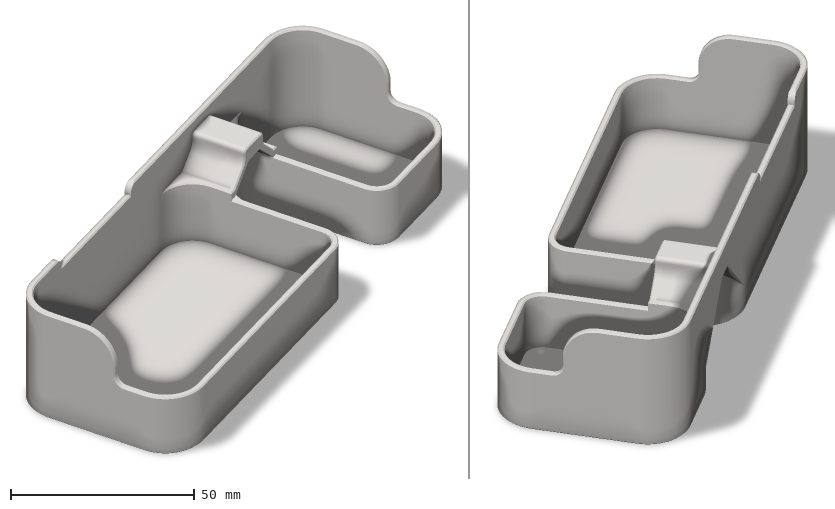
import cadquery as cq
import math

width = 54.0
length = 152.0
height = 35.0
back_tray_length = 39.5
gap = 21.0

wall = 2.0
floor_thickness = 2.0
corner_radius = 12.0
gap_corner_radius = 7.0
edge_chamfer = 0.4
bevel_angle = 45.0

rim_height = 19.0
step_x = 33.0
step_top_radius = 10.0
step_foot_radius = 3.0

notch_floor = 31.5
notch_length = 38.0
notch_offset = 25.0
notch_radius = 3.0

arch_spring_height = 7.0
arch_crown_width = 6.0

bridge_width = 18.5
ledge_height = 21.5
bridge_top = 31.2
hump_width = 10.2
hump_radius = 1.3
hump_foot_radius = 4.5
slope_angle = math.radians(45.0)
slope_foot_inset = 0.2

front_y = -length / 2
back_y = length / 2
gap_back_y = back_y - back_tray_length
gap_front_y = gap_back_y - gap
gap_center_y = (gap_front_y + gap_back_y) / 2
bridge_reach = gap / 2 + corner_radius
trays = [(front_y, gap_front_y), (gap_back_y, back_y)]

overshoot = 1.0
tolerance = 0.01


def rounded_tray_block(y_min, y_max, inset, z_min, z_max):
    """Prism over one tray's plan, shrunk by inset; the gap corner on the +X side is tighter."""
    block = (
        cq.Workplane("XY", origin=(width / 2, (y_min + y_max) / 2, z_min))
        .rect(width - 2 * inset, y_max - y_min - 2 * inset)
        .extrude(z_max - z_min)
    )
    gap_side = ">Y" if y_min == front_y else "<Y"
    gap_corner = f"|Z and >X and {gap_side}"
    block = block.edges(f"|Z exc ({gap_corner})").fillet(corner_radius - inset)
    return block.edges(gap_corner).fillet(gap_corner_radius - inset)


def side_wall():
    """Full height -X wall along the bridge."""
    return (
        cq.Workplane("XY", origin=(0, gap_center_y, 0))
        .box(wall, 2 * bridge_reach, height, centered=(False, True, False))
    )


def arch_cutter():
    """Opening under the bridge: upright sides, 45 degree flanks and a flat crown."""
    half_crown = arch_crown_width / 2
    crown_height = arch_spring_height + bridge_reach - half_crown
    return (
        cq.Workplane("YZ", origin=(-overshoot, gap_center_y, 0))
        .moveTo(-bridge_reach, -overshoot)
        .lineTo(-bridge_reach, arch_spring_height)
        .lineTo(-half_crown, crown_height)
        .lineTo(half_crown, crown_height)
        .lineTo(bridge_reach, arch_spring_height)
        .lineTo(bridge_reach, -overshoot)
        .close()
        .extrude(width + 2 * overshoot)
    )


def bridge_deck():
    """Deck inside the -X wall: tray corner ledges, 45 degree slopes and a raised hump, bevelled on +X."""
    hump_side = hump_width / 2
    slope_foot = gap / 2 + slope_foot_inset
    foot_rise = hump_foot_radius * math.sin(slope_angle)
    foot_run = hump_foot_radius * (1 - math.cos(slope_angle))
    slope_top = hump_side + foot_run
    slope_top_height = ledge_height + (slope_foot - slope_top) * math.tan(slope_angle)
    foot_top_height = slope_top_height + foot_rise
    deck = (
        cq.Workplane("YZ", origin=(0, gap_center_y, 0))
        .moveTo(-bridge_reach, 0)
        .lineTo(-bridge_reach, ledge_height)
        .lineTo(-slope_foot, ledge_height)
        .lineTo(-slope_top, slope_top_height)
        .radiusArc((-hump_side, foot_top_height), -hump_foot_radius)
        .lineTo(-hump_side, bridge_top - hump_radius)
        .radiusArc((hump_radius - hump_side, bridge_top), hump_radius)
        .lineTo(hump_side - hump_radius, bridge_top)
        .radiusArc((hump_side, bridge_top - hump_radius), hump_radius)
        .lineTo(hump_side, foot_top_height)
        .radiusArc((slope_top, slope_top_height), -hump_foot_radius)
        .lineTo(slope_foot, ledge_height)
        .lineTo(bridge_reach, ledge_height)
        .lineTo(bridge_reach, 0)
        .close()
        .extrude(bridge_width)
    )
    above_ledge = cq.selectors.BoxSelector(
        (bridge_width - overshoot, front_y, rim_height),
        (bridge_width + overshoot, back_y, height),
    )
    return deck.faces(">X").edges(above_ledge).chamfer(edge_chamfer)


def step_cutter():
    """Material removed above the low rim, along the whole length."""
    cutter = (
        cq.Workplane("XZ", origin=(0, back_y + overshoot, 0))
        .moveTo(step_x - step_top_radius, height)
        .radiusArc((step_x, height - step_top_radius), step_top_radius)
        .lineTo(step_x, rim_height + step_foot_radius)
        .radiusArc((step_x + step_foot_radius, rim_height), -step_foot_radius)
        .lineTo(width + overshoot, rim_height)
        .lineTo(width + overshoot, height + overshoot)
        .lineTo(step_x - step_top_radius, height + overshoot)
        .close()
    )
    return cutter.extrude(length + 2 * overshoot)


def tray_corner_cutter():
    """Space that lowers the trays along the gap to the low rim, inside the -X wall."""
    return (
        cq.Workplane("XY", origin=(wall, gap_center_y, rim_height))
        .box(width, 2 * bridge_reach, height, centered=(False, True, False))
    )


def ledge_bevel_cutter(y_min, y_max):
    """Bevel where a tray's cavity breaks through the ledge of the deck."""
    z_min = ledge_height - edge_chamfer
    flared = (
        rounded_tray_block(y_min, y_max, wall, floor_thickness, z_min)
        .faces(">Z").wires().toPending()
        .workplane()
        .extrude(edge_chamfer, taper=-bevel_angle, combine=False)
    )
    inside = (
        cq.Workplane("XY", origin=(wall, gap_center_y, z_min))
        .box(bridge_width, 2 * bridge_reach, edge_chamfer, centered=(False, True, False))
    )
    return flared.intersect(inside)


def notch_cutter():
    """Notch in the top of the -X wall; its upper corners are rounded."""
    y_start = front_y + notch_offset
    y_end = y_start + notch_length
    cutter = (
        cq.Workplane("YZ", origin=(-overshoot, 0, 0))
        .moveTo(y_start - notch_radius, height)
        .radiusArc((y_start, height - notch_radius), notch_radius)
        .lineTo(y_start, notch_floor)
        .lineTo(y_end, notch_floor)
        .lineTo(y_end, height - notch_radius)
        .radiusArc((y_end + notch_radius, height), notch_radius)
        .close()
    )
    return cutter.extrude(wall + 2 * overshoot)


def bevel_wall_tops(body, *levels):
    """Bevels the edges that run along the top of the walls at the given heights, not across a wall."""
    top_edges = [
        edge
        for edge in body.faces("+Z").edges().vals()
        if edge.Length() > wall + tolerance
        and any(abs(edge.Center().z - level) < tolerance for level in levels)
    ]
    return body.newObject(top_edges).chamfer(edge_chamfer)


body = cq.Workplane("XY")
for y_min, y_max in trays:
    body = body.union(rounded_tray_block(y_min, y_max, 0, 0, height))
body = body.cut(tray_corner_cutter())
bridge = side_wall().union(bridge_deck()).cut(arch_cutter())
body = body.union(bridge)

for y_min, y_max in trays:
    body = body.cut(rounded_tray_block(y_min, y_max, wall, floor_thickness, height + overshoot))
body = body.cut(step_cutter())

body = body.faces("<Z").chamfer(edge_chamfer)
body = bevel_wall_tops(body, rim_height, height)
body = body.cut(notch_cutter())
body = bevel_wall_tops(body, notch_floor)
for y_min, y_max in trays:
    body = body.cut(ledge_bevel_cutter(y_min, y_max))

result = body